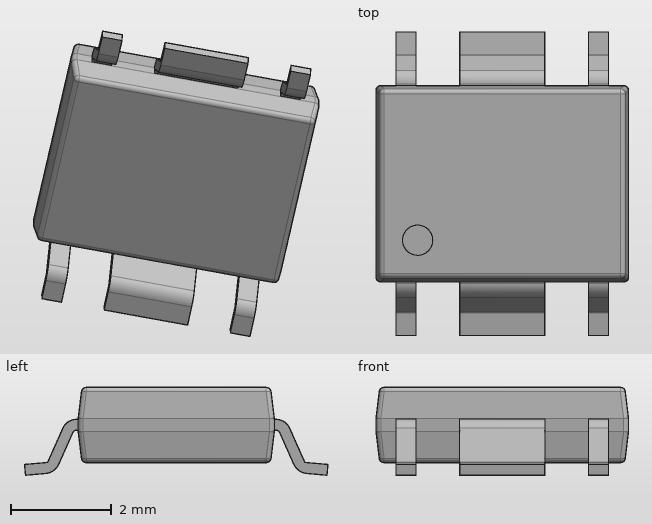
import cadquery as cq
import math

body_length = 5.02
body_width = 3.9
body_height = 1.5
standoff = 0.25
belt_height = 0.26
draft_angle = 7.0
body_edge_radius = 0.1

mark_diameter = 0.6
mark_depth = 0.03
mark_x = -1.68
mark_y = -1.12

lead_span = 6.03
lead_thickness = 0.22
lead_gap_below_belt_top = 0.015
lead_slope_angle = 66.0
foot_tilt_angle = 5.0
foot_length = 0.46
shoulder_outer_radius = 0.3
heel_inner_radius = 0.02
heel_outer_radius = 0.32
root_depth = 0.3
side_lead_width = 0.4
side_lead_offset = 1.91
tab_width = 1.69

body_top = standoff + body_height
taper_height = (body_height - belt_height) / 2
belt_bottom = standoff + taper_height
belt_top = belt_bottom + belt_height
shoulder_inner_radius = shoulder_outer_radius - lead_thickness


def make_body():
    """Straight belt with drafted halves above and below, all outer edges rounded."""
    belt = cq.Workplane("XY", origin=(0, 0, belt_bottom)).rect(body_length, body_width).extrude(belt_height)
    upper = belt.faces(">Z").wires().toPending().workplane().extrude(
        taper_height, combine=False, taper=draft_angle
    )
    lower = belt.faces("<Z").wires().toPending().workplane().extrude(
        taper_height, combine=False, taper=draft_angle
    )
    body = belt.union(upper).union(lower)
    rounded_edges = body.edges("(not (#Z)) or >Z or <Z")
    return rounded_edges.fillet(body_edge_radius)


def make_mark():
    """Cutter for the pin-one recess."""
    mark_floor = body_top - mark_depth
    return (
        cq.Workplane("XY", origin=(mark_x, mark_y, mark_floor))
        .circle(mark_diameter / 2)
        .extrude(mark_depth)
    )


def lead_profile():
    """Side outline of a lead leaving the +Y side: level root, steep leg, foot tipped slightly down."""
    slope = math.radians(lead_slope_angle)
    tilt = math.radians(foot_tilt_angle)

    root_y = body_width / 2 - root_depth
    root_z = belt_top - lead_gap_below_belt_top
    toe_y = lead_span / 2
    toe_z = lead_thickness * math.cos(tilt)
    heel_y = toe_y - foot_length
    heel_z = toe_z + foot_length * math.tan(tilt)
    shoulder_y = heel_y - (root_z - heel_z) / math.tan(slope)

    shoulder_shift = lead_thickness * math.tan(slope / 2)
    heel_shift = lead_thickness / math.cos((slope - tilt) / 2)
    heel_direction = (slope + tilt) / 2
    under_root_z = root_z - lead_thickness
    under_shoulder_y = shoulder_y - shoulder_shift
    under_heel_y = heel_y - heel_shift * math.sin(heel_direction)
    under_heel_z = heel_z - heel_shift * math.cos(heel_direction)
    under_toe_y = toe_y - lead_thickness * math.sin(tilt)

    outline = [
        (root_y, root_z),
        (shoulder_y, root_z),
        (heel_y, heel_z),
        (toe_y, toe_z),
        (under_toe_y, 0),
        (under_heel_y, under_heel_z),
        (under_shoulder_y, under_root_z),
        (root_y, under_root_z),
    ]
    bends = [
        (shoulder_y, root_z, shoulder_outer_radius),
        (under_shoulder_y, under_root_z, shoulder_inner_radius),
        (heel_y, heel_z, heel_inner_radius),
        (under_heel_y, under_heel_z, heel_outer_radius),
    ]
    return outline, bends


def make_lead(width, center_x):
    """Lead of the given width on the +Y side, centred on center_x."""
    outline, bends = lead_profile()
    left_x = center_x - width / 2
    lead = cq.Workplane("YZ", origin=(left_x, 0, 0)).polyline(outline).close().extrude(width)
    for bend_y, bend_z, radius in bends:
        lead = lead.edges(cq.NearestToPointSelector((center_x, bend_y, bend_z))).fillet(radius)
    return lead


def make_part():
    part = make_body().cut(make_mark())
    lead_places = [
        (side_lead_width, -side_lead_offset),
        (tab_width, 0),
        (side_lead_width, side_lead_offset),
    ]
    for width, center_x in lead_places:
        lead = make_lead(width, center_x)
        part = part.union(lead).union(lead.mirror("XZ"))
    return part


result = make_part()